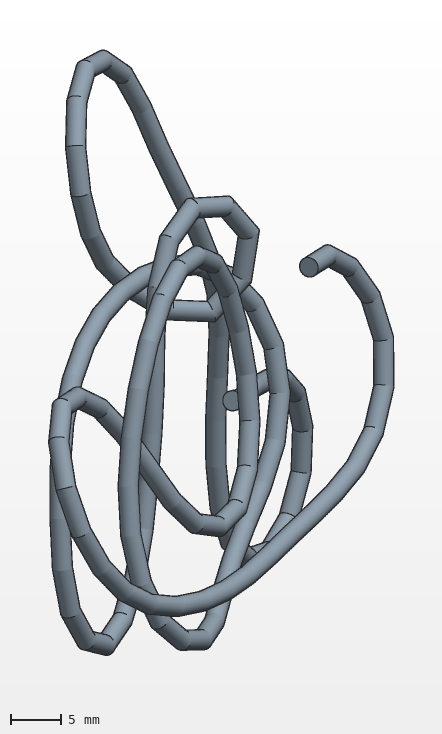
import cadquery as cq

WIRE_DIAMETER = 2.0
LENGTHS_PER_SPAN = 2

START_END = (-1.6, 17.3, -8.75)

low_loop = [
    (-1.6, 19.55, -10.0),
    (-2.3, 28.3, -13.8),
    (-2.4, 35.4, -20.3),
    (-1.65, 35.0, -29.6),
    (-1.5, 26.6, -33.6),
    (-2.6, 19.3, -27.85),
    (-4.05, 18.95, -18.35),
]
long_rise = [
    (-4.7, 20.95, -8.8),
    (-4.95, 21.3, 0.8),
    (-6.7, 19.8, 10.3),
    (-10.0, 18.5, 19.3),
    (-13.2, 16.85, 28.5),
]
high_loop = [
    (-14.15, 9.6, 33.75),
    (-11.4, 0.45, 31.15),
    (-9.0, -1.4, 22.6),
    (-6.4, 2.3, 14.1),
    (0.4, 7.2, 9.65),
    (2.4, 12.1, 16.6),
    (-1.2, 6.15, 22.7),
]
descent = [
    (-1.35, -2.25, 18.4),
    (0.15, -6.7, 10.0),
    (1.35, -11.15, 1.4),
    (2.6, -17.45, -5.8),
    (3.4, -26.8, -7.6),
]
near_side = [
    (1.8, -32.05, -0.4),
    (-0.4, -29.6, 8.8),
    (-2.5, -23.65, 16.0),
    (-4.05, -14.5, 19.1),
    (-4.3, -4.9, 18.8),
    (-2.9, 4.4, 16.2),
]
wide_turn = [
    (0.2, 11.8, 10.85),
    (4.6, 13.3, 2.5),
    (7.0, 7.85, -5.0),
    (7.5, -0.8, -9.3),
    (9.0, -10.25, -10.85),
    (10.85, -19.7, -9.65),
]
second_turn = [
    (9.05, -26.4, -3.3),
    (5.5, -25.3, 5.55),
    (3.45, -20.35, 13.55),
    (2.4, -13.55, 20.35),
    (1.8, -4.35, 23.1),
    (2.1, 3.9, 18.35),
]
inner_dip = [
    (3.75, 6.3, 9.2),
    (6.2, 3.4, 0.4),
    (8.2, -4.7, -4.3),
    (7.4, -13.3, -0.6),
    (3.8, -16.85, 7.6),
]
front_hook = [
    (-0.15, -19.85, 15.9),
    (-0.9, -27.8, 21.1),
    (2.8, -35.5, 17.45),
    (6.6, -35.4, 8.7),
    (9.5, -30.0, 1.35),
]
long_return = [
    (11.7, -21.7, -3.3),
    (12.65, -12.5, -6.1),
    (13.1, -2.85, -7.6),
    (13.85, 6.7, -8.6),
    (14.1, 16.3, -7.5),
    (12.35, 23.0, -0.9),
    (9.3, 21.6, 7.9),
    (8.1, 14.0, 12.7),
]

stretches = [
    low_loop,
    long_rise,
    high_loop,
    descent,
    near_side,
    wide_turn,
    second_turn,
    inner_dip,
    front_hook,
    long_return,
]
waypoints = [cq.Vector(*point) for stretch in stretches for point in stretch]


def wire_corners():
    """Corners of the centreline: the waypoints and the points midway between them on a smooth curve."""
    curve = cq.Edge.makeSpline(waypoints, parameters=range(len(waypoints)))
    last_joint = (len(waypoints) - 1) * LENGTHS_PER_SPAN
    joints = [
        curve.positionAt(joint / LENGTHS_PER_SPAN, mode="parameter")
        for joint in range(last_joint + 1)
    ]
    return [cq.Vector(*START_END)] + joints


def wire_profile(start, direction):
    """Round section square to the wire, drawn as two half circles that split its side lengthwise."""
    radius = WIRE_DIAMETER / 2
    section = cq.Plane(start, xDir=(-1, 0, 0), normal=direction)
    return (
        cq.Workplane(section)
        .moveTo(radius, 0)
        .threePointArc((0, radius), (-radius, 0))
        .threePointArc((0, -radius), (radius, 0))
        .close()
    )


corners = wire_corners()
centreline = cq.Workplane(cq.Wire.makePolygon(corners))
profile = wire_profile(corners[0], corners[1] - corners[0])
result = profile.sweep(centreline, transition="right", clean=False)